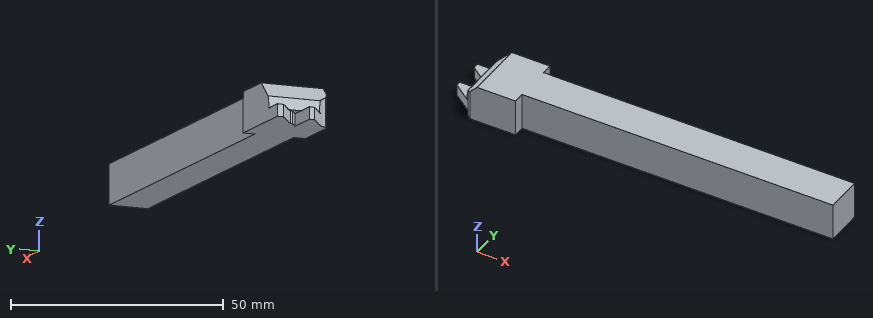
import cadquery as cq
import math

overall_length = 105.0
shank_width = 10.0
height = 10.0

head_end_x = 20.0
head_half_width = 8.0

bevel_top_x = 9.5
bevel_bottom_x = 5.5
bevel_bottom_z = height - (bevel_top_x - bevel_bottom_x)
lip_x = 4.85
lip_z = 3.5

flank_slope = math.tan(math.radians(36.0))
relief_arc_start = (lip_x, -4.9)
relief_arc_end = (6.45, -7.15)
relief_arc_sag = 0.25

finger_height = 3.0
upper_tip_width = 1.65
lower_finger_top_y = -0.2
lower_tip_width = 1.4
flank_root_x = 6.15
gap_floor_width = 0.6
tip_setback = 0.15


def block(x_start, x_end, y_start, y_end, z_end):
    """Box standing on the base plane between the given limits."""
    box = cq.Workplane("XY").box(x_end - x_start, y_end - y_start, z_end, centered=False)
    return box.translate((x_start, y_start, 0))


def make_shank():
    half_width = shank_width / 2
    return block(head_end_x, overall_length, -half_width, half_width, height)


def make_head():
    """Head with its relieved corner in plan, trimmed to the nose profile."""
    start_x, start_y = relief_arc_start
    end_x, end_y = relief_arc_end
    chord_x = end_x - start_x
    chord_y = end_y - start_y
    chord = math.hypot(chord_x, chord_y)
    arc_middle = (
        (start_x + end_x) / 2 - relief_arc_sag * chord_y / chord,
        (start_y + end_y) / 2 + relief_arc_sag * chord_x / chord,
    )
    flank_end_x = end_x + (end_y + head_half_width) / flank_slope
    plan = (
        cq.Workplane("XY")
        .moveTo(lip_x, head_half_width)
        .lineTo(start_x, start_y)
        .threePointArc(arc_middle, relief_arc_end)
        .lineTo(flank_end_x, -head_half_width)
        .lineTo(head_end_x, -head_half_width)
        .lineTo(head_end_x, head_half_width)
        .close()
        .extrude(height)
    )
    nose = (
        cq.Workplane("XZ")
        .polyline([
            (lip_x, 0),
            (lip_x, lip_z),
            (bevel_bottom_x, bevel_bottom_z),
            (bevel_top_x, height),
            (head_end_x, height),
            (head_end_x, 0),
        ])
        .close()
        .extrude(head_half_width, both=True)
    )
    return plan.intersect(nose)


def make_finger(top_y, tip_width):
    """Finger with a straight +Y side and a -Y side that widens toward its root."""
    tip_bottom_y = top_y - tip_width
    root_bottom_y = tip_bottom_y - (flank_root_x - tip_setback) * flank_slope
    return (
        cq.Workplane("XY")
        .polyline([
            (0, top_y),
            (tip_setback, tip_bottom_y),
            (flank_root_x, root_bottom_y),
            (flank_root_x, top_y),
        ])
        .close()
        .extrude(finger_height)
    )


def make_finger_gap():
    """Open space between the fingers, reaching under the lip."""
    upper_tip_y = head_half_width - upper_tip_width
    floor_top_y = upper_tip_y - (flank_root_x - tip_setback) * flank_slope
    floor_bottom_y = floor_top_y - gap_floor_width
    corner_x = flank_root_x + (floor_bottom_y - lower_finger_top_y) / flank_slope
    return (
        cq.Workplane("XY")
        .polyline([
            (tip_setback, upper_tip_y),
            (flank_root_x, floor_top_y),
            (flank_root_x, floor_bottom_y),
            (corner_x, lower_finger_top_y),
            (tip_setback, lower_finger_top_y),
        ])
        .close()
        .extrude(finger_height)
    )


upper_finger = make_finger(head_half_width, upper_tip_width)
lower_finger = make_finger(lower_finger_top_y, lower_tip_width)
head = make_head().cut(make_finger_gap())
result = head.union(make_shank()).union(upper_finger).union(lower_finger).clean()